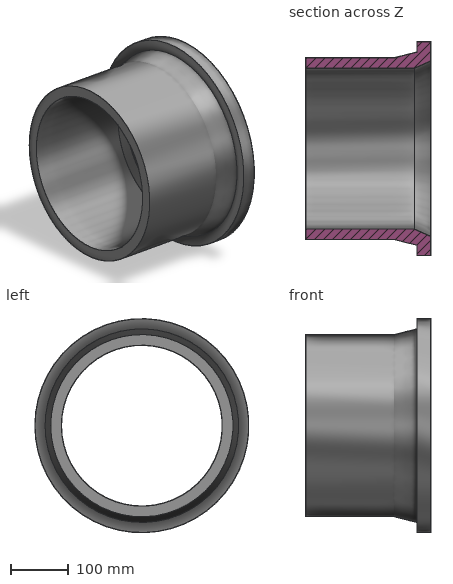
import cadquery as cq

total_length = 217.0
tube_length = 153.5
flange_thickness = 24.5
flange_diameter = 370.0
tube_diameter = 315.0
cone_end_diameter = 334.5
bore_diameter = 277.5
mouth_diameter = 303.5
mouth_depth = 29.0

flange_radius = flange_diameter / 2
tube_radius = tube_diameter / 2
cone_end_radius = cone_end_diameter / 2
bore_radius = bore_diameter / 2
mouth_radius = mouth_diameter / 2
mouth_start = total_length - mouth_depth
flange_start = total_length - flange_thickness

wall_section = (
    cq.Workplane("XY")
    .moveTo(0, bore_radius)
    .lineTo(0, tube_radius)
    .lineTo(tube_length, tube_radius)
    .lineTo(flange_start, cone_end_radius)
    .lineTo(flange_start, flange_radius)
    .lineTo(total_length, flange_radius)
    .lineTo(total_length, mouth_radius)
    .lineTo(mouth_start, bore_radius)
    .close()
)

result = wall_section.revolve(360, (0, 0, 0), (1, 0, 0))